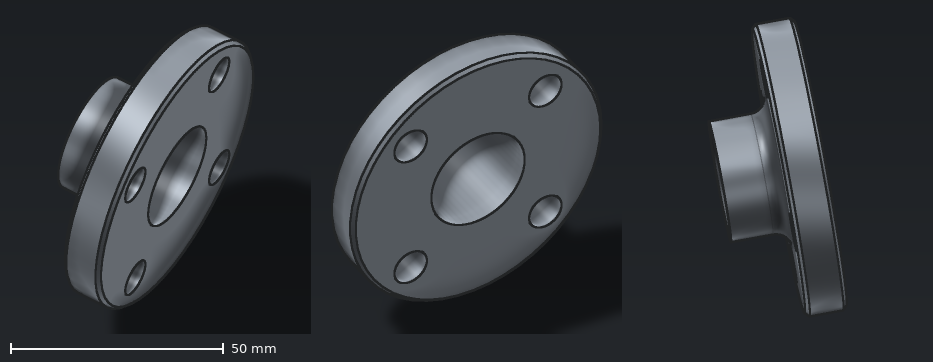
import cadquery as cq

total_length = 24.0
flange_diameter = 70.0
flange_thickness = 10.0
edge_chamfer = 1.0
neck_diameter = 29.0
bore_diameter = 26.0
neck_fillet = 4.0
bolt_hole_diameter = 9.0
bolt_circle_diameter = 53.0
bolt_count = 4
first_bolt_angle = 45.0

neck_length = total_length - flange_thickness


def disc(diameter, start_x, length):
    """Solid cylinder along +X, starting at start_x."""
    return cq.Workplane("YZ", origin=(start_x, 0, 0)).circle(diameter / 2).extrude(length)


flange = disc(flange_diameter, neck_length, flange_thickness).edges().chamfer(edge_chamfer)

body = flange.union(disc(neck_diameter, 0, neck_length))
neck_root = cq.selectors.BoxSelector(
    (neck_length - edge_chamfer / 2, -neck_diameter, -neck_diameter),
    (neck_length + edge_chamfer / 2, neck_diameter, neck_diameter),
    boundingbox=False,
)
body = body.edges(neck_root).edges(cq.selectors.RadiusNthSelector(0)).fillet(neck_fillet)

body = body.cut(disc(bore_diameter, 0, total_length))

bolt_holes = (
    cq.Workplane("YZ", origin=(neck_length, 0, 0))
    .polarArray(bolt_circle_diameter / 2, first_bolt_angle, 360, bolt_count)
    .circle(bolt_hole_diameter / 2)
    .extrude(flange_thickness)
)
result = body.cut(bolt_holes)